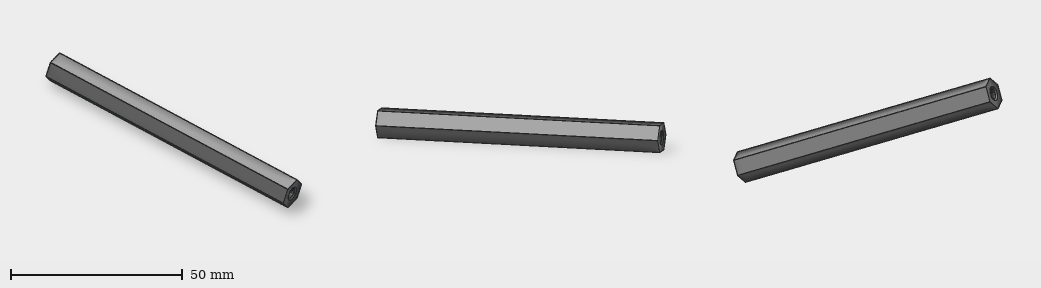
import cadquery as cq
import math

length = 85.0
across_flats = 8.0
across_sharp_corners = across_flats / math.cos(math.pi / 6)
rounded_corner_diameter = 9.2

hole_diameter = 3.3
hole_depth = 17.0
drill_tip_angle = 118.0
countersink_diameter = 4.25
countersink_angle = 90.0


def cone_depth(radial_step, included_angle):
    """Axial length of a cone that changes radius by radial_step."""
    return radial_step / math.tan(math.radians(included_angle / 2))


def end_hole():
    """Countersunk blind hole with a drill tip, entering at X = 0 and running along +X."""
    hole_radius = hole_diameter / 2
    countersink_radius = countersink_diameter / 2
    countersink_depth = cone_depth(countersink_radius - hole_radius, countersink_angle)
    tip_depth = cone_depth(hole_radius, drill_tip_angle)
    profile = (
        cq.Workplane("XY")
        .moveTo(0, 0)
        .lineTo(0, countersink_radius)
        .lineTo(countersink_depth, hole_radius)
        .lineTo(hole_depth, hole_radius)
        .lineTo(hole_depth + tip_depth, 0)
        .close()
    )
    return profile.revolve(360, (0, 0, 0), (1, 0, 0))



hexagonal_bar = cq.Workplane("YZ").polygon(6, across_sharp_corners).extrude(length)
turned_envelope = cq.Workplane("YZ").circle(rounded_corner_diameter / 2).extrude(length)
body = hexagonal_bar.intersect(turned_envelope)

left_hole = end_hole()
right_hole = left_hole.mirror("YZ").translate((length, 0, 0))
result = body.cut(left_hole).cut(right_hole)